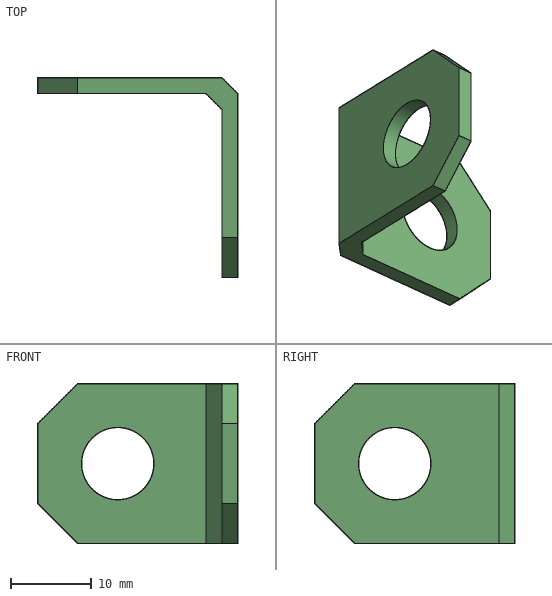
import cadquery as cq

leg_length = 25.0
height = 20.0
thickness = 2.0
bend_chamfer = 2.0
corner_chamfer = 5.0
hole_diameter = 9.0
hole_from_free_end = 10.0

inner_face = leg_length - thickness


def angle_body():
    """L-shaped profile with a bevelled bend, extruded along Z."""
    profile = [
        (0, leg_length),
        (leg_length - bend_chamfer, leg_length),
        (leg_length, leg_length - bend_chamfer),
        (leg_length, 0),
        (inner_face, 0),
        (inner_face, inner_face - bend_chamfer),
        (inner_face - bend_chamfer, inner_face),
        (0, inner_face),
    ]
    return cq.Workplane("XY").polyline(profile).close().extrude(height)


def leg_cutter(plane):
    """Hole and two free-corner cuts for one leg, spanning the sheet thickness.

    The plane's local x runs from the free end to the bend and local y runs along Z.
    """
    cutter = (
        cq.Workplane(plane)
        .center(hole_from_free_end, height / 2)
        .circle(hole_diameter / 2)
        .extrude(thickness)
    )
    for edge_z, inward in ((0, 1), (height, -1)):
        corner = (
            cq.Workplane(plane)
            .polyline([
                (0, edge_z),
                (corner_chamfer, edge_z),
                (0, edge_z + inward * corner_chamfer),
            ])
            .close()
            .extrude(thickness)
        )
        cutter = cutter.union(corner)
    return cutter


x_leg_plane = cq.Plane(origin=(0, leg_length, 0), xDir=(1, 0, 0), normal=(0, -1, 0))
y_leg_plane = cq.Plane(origin=(inner_face, 0, 0), xDir=(0, 1, 0), normal=(1, 0, 0))

result = angle_body()
for leg_plane in (x_leg_plane, y_leg_plane):
    result = result.cut(leg_cutter(leg_plane))